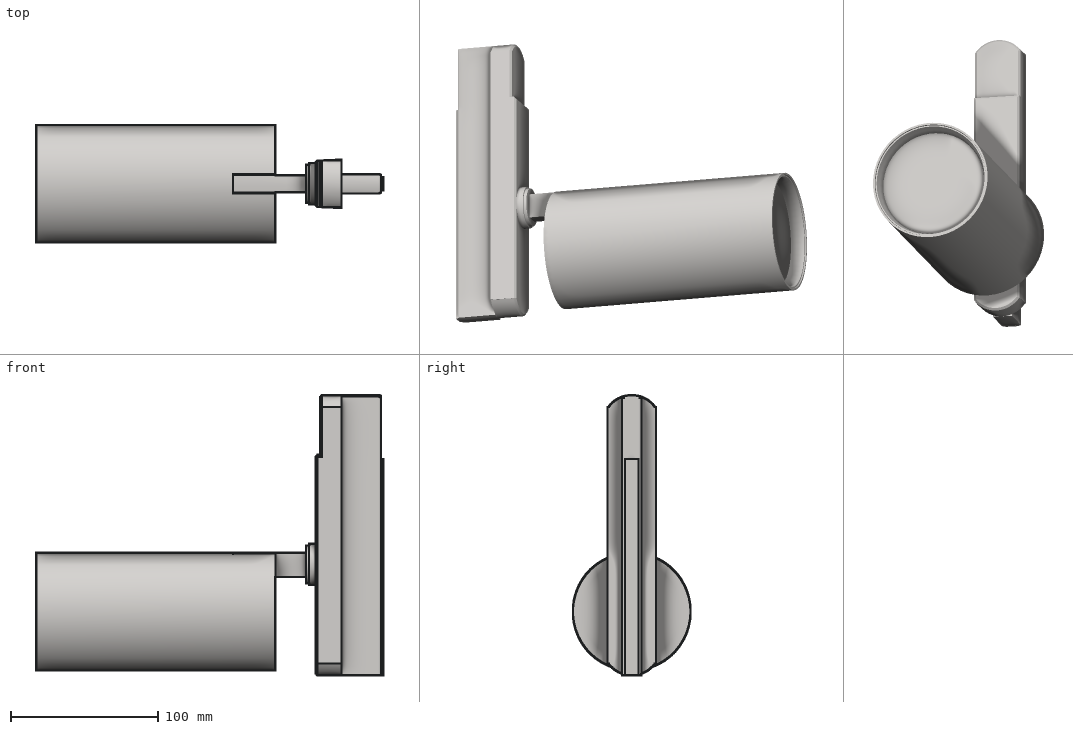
import cadquery as cq
import math


LAMP_DIAMETER = 80.0
LAMP_LENGTH = 162.3
LAMP_BORE_DIAMETER = 77.5
LAMP_BORE_DEPTH = 12.2

RING_OUTER_DIAMETER = 77.0
RING_MOUTH_DIAMETER = 75.4
LENS_DIAMETER = 70.5
RING_RECESS = 1.0
LENS_RECESS = 10.0

ARM_WIDTH = 11.8
ARM_SLOT_WIDTH = 13.0
ARM_START = 133.5
ARM_BOTTOM = 23.3

COLLAR_HEIGHT = 32.0
SMALL_DISC_DIAMETER = 26.0
SMALL_DISC_FRONT = 183.0
LARGE_DISC_DIAMETER = 28.3
LARGE_DISC_FRONT = 185.0

CASE_FRONT = 189.5
CASE_BACK = 207.2
CASE_FRONT_WIDTH = 31.5
CASE_BACK_WIDTH = 33.0
CASE_BOTTOM = -43.3
CASE_HEIGHT = 190.3
CASE_END_RISE = 8.0
CASE_SETBACK_FRONT = 192.6
CASE_STEP_HEIGHT = 106.5
CASE_CHAMFER = 1.5

BLADE_BACK = 234.0
BLADE_WIDTH = 13.2
BLADE_FILLET = 1.6
PLATE_BACK = 235.5
PLATE_WIDTH = 9.2
PLATE_TOP = 103.5

TOLERANCE = 0.02

CASE_TOP = CASE_BOTTOM + CASE_HEIGHT
FLANK_BOTTOM = CASE_BOTTOM + CASE_END_RISE
FLANK_TOP = CASE_TOP - CASE_END_RISE


def plane_at(x):
    """Workplane facing +X at the given distance along the lamp axis."""
    return cq.Workplane("YZ", origin=(x, 0, 0))


def disc(diameter, start, end, height=0.0):
    """Round disc between two places along X, centred at the given height."""
    return plane_at(start).center(0, height).circle(diameter / 2).extrude(end - start)


def block(width, start, end, bottom, top):
    """Box centred on Y."""
    return cq.Workplane("XY").box(
        end - start, width, top - bottom, centered=(False, True, False)
    ).translate((start, 0, bottom))


def make_lamp_housing():
    body = disc(LAMP_DIAMETER, 0, LAMP_LENGTH)
    bore = disc(LAMP_BORE_DIAMETER, 0, LAMP_BORE_DEPTH)
    arm_slot = block(ARM_SLOT_WIDTH, ARM_START, LAMP_LENGTH, ARM_BOTTOM, LAMP_DIAMETER / 2)
    return body.cut(bore).cut(arm_slot)


def make_front_ring():
    """Ring with a mouth that narrows to the lens, then a straight seat around the lens."""
    mouth_radius = RING_MOUTH_DIAMETER / 2
    outer_radius = RING_OUTER_DIAMETER / 2
    lens_radius = LENS_DIAMETER / 2
    section = [
        (RING_RECESS, mouth_radius),
        (RING_RECESS, outer_radius),
        (LAMP_BORE_DEPTH, outer_radius),
        (LAMP_BORE_DEPTH, lens_radius),
        (LENS_RECESS, lens_radius),
    ]
    return cq.Workplane("XY").polyline(section).close().revolve(360, (0, 0), (1, 0))


def make_lens():
    return disc(LENS_DIAMETER, LENS_RECESS, LAMP_BORE_DEPTH)


def make_arm():
    """Flat-bottomed arm whose top continues the round surface of the lamp housing."""
    bar = block(ARM_WIDTH, ARM_START, SMALL_DISC_FRONT, ARM_BOTTOM, LAMP_DIAMETER / 2)
    return bar.intersect(disc(LAMP_DIAMETER, ARM_START, SMALL_DISC_FRONT))


def make_small_disc():
    return disc(SMALL_DISC_DIAMETER, SMALL_DISC_FRONT, LARGE_DISC_FRONT, COLLAR_HEIGHT)


def make_large_disc():
    return disc(LARGE_DISC_DIAMETER, LARGE_DISC_FRONT, CASE_FRONT, COLLAR_HEIGHT)


def end_arc_drop(offset):
    """How far the arched case end lies below its apex at a sideways offset."""
    half_chord = CASE_FRONT_WIDTH / 2
    radius = (half_chord**2 + CASE_END_RISE**2) / (2 * CASE_END_RISE)
    return radius - math.sqrt(radius**2 - offset**2)


def make_arched_body():
    """Upright body with arched ends, set back above a step and chamfered around its front."""
    side = CASE_FRONT_WIDTH / 2
    outline = (
        plane_at(CASE_BACK)
        .moveTo(side, FLANK_BOTTOM)
        .lineTo(side, FLANK_TOP)
        .threePointArc((0, CASE_TOP), (-side, FLANK_TOP))
        .lineTo(-side, FLANK_BOTTOM)
        .threePointArc((0, CASE_BOTTOM), (side, FLANK_BOTTOM))
        .close()
    )
    body = outline.extrude(CASE_FRONT - CASE_BACK)

    setback = block(CASE_FRONT_WIDTH, CASE_FRONT, CASE_SETBACK_FRONT, CASE_STEP_HEIGHT, CASE_TOP)
    body = body.cut(setback)

    inner_corner = cq.Vector(CASE_SETBACK_FRONT, 0, CASE_STEP_HEIGHT)
    front_faces = body.faces(cq.selectors.DirectionSelector(cq.Vector(-1, 0, 0)))
    front_edges = front_faces.edges().filter(lambda edge: (edge.Center() - inner_corner).Length > TOLERANCE)
    return front_edges.chamfer(CASE_CHAMFER)


def make_flank(direction):
    """Thin wedge that widens one side of the case from the front chamfer to the back."""
    front = CASE_FRONT + CASE_CHAMFER
    inner = direction * CASE_FRONT_WIDTH / 2
    outer = direction * CASE_BACK_WIDTH / 2
    wedge = cq.Workplane("XY", origin=(0, 0, FLANK_BOTTOM))
    wedge = wedge.polyline([(front, inner), (CASE_BACK, inner), (CASE_BACK, outer)]).close()
    wedge = wedge.extrude(FLANK_TOP - FLANK_BOTTOM)

    setback_back = CASE_SETBACK_FRONT + CASE_CHAMFER
    setback_bottom = CASE_STEP_HEIGHT - CASE_CHAMFER
    return wedge.cut(block(CASE_BACK_WIDTH, front, setback_back, setback_bottom, CASE_TOP))


def make_driver_case():
    case = make_arched_body()
    for direction in (-1, 1):
        case = case.union(make_flank(direction))
    return case


def make_blade():
    """Upright blade with an arched top, rounded along its back edges except at the bottom."""
    side = BLADE_WIDTH / 2
    shoulder = CASE_TOP - end_arc_drop(side)
    blade = (
        plane_at(CASE_BACK)
        .moveTo(-side, CASE_BOTTOM)
        .lineTo(side, CASE_BOTTOM)
        .lineTo(side, shoulder)
        .threePointArc((0, CASE_TOP), (-side, shoulder))
        .close()
        .extrude(BLADE_BACK - CASE_BACK)
    )
    back_edges = blade.faces(">X").edges("not <Z")
    return back_edges.fillet(BLADE_FILLET)


def make_back_plate():
    return block(PLATE_WIDTH, BLADE_BACK, PLATE_BACK, CASE_BOTTOM, PLATE_TOP)


bodies = [
    make_lamp_housing(),
    make_front_ring(),
    make_lens(),
    make_arm(),
    make_small_disc(),
    make_large_disc(),
    make_driver_case(),
    make_blade(),
    make_back_plate(),
]
result = cq.Compound.makeCompound([body.solids().val() for body in bodies])